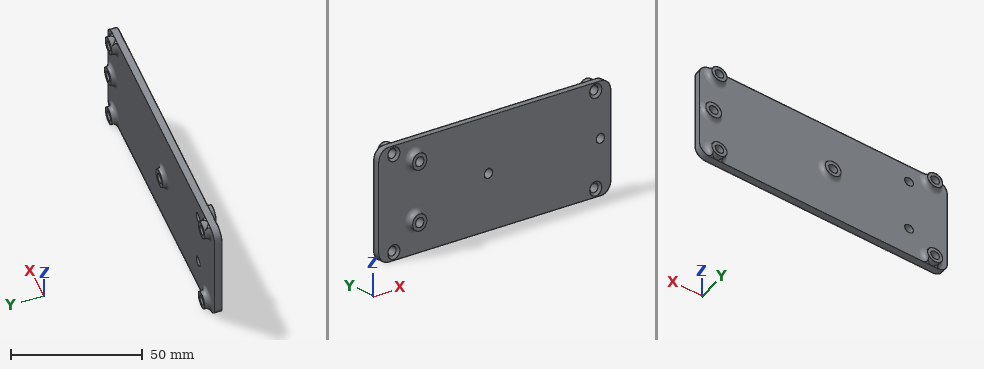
import cadquery as cq

plate_length = 115.0
plate_height = 47.0
plate_thickness = 3.0
corner_radius = 5.0

boss_diameter = 7.0
boss_foot_radius = 2.0
hole_diameter = 4.0

front_boss_height = 3.0
front_boss_x = -39.7
front_boss_mid_z = 2.8
front_boss_spacing = 25.0

corner_boss_height = 2.5
corner_spacing_x = 100.0
corner_spacing_z = 40.0
corner_hole_diameter = 3.9
countersink_diameter = 6.0

center_boss_diameter = 7.4
center_boss_height = 2.0
rear_trim_angle = 30.0

center_boss_positions = [(-3.1, 0), (52.3, 0)]

front_boss_positions = [
    (front_boss_x, front_boss_mid_z + side * front_boss_spacing / 2) for side in (-1, 1)
]
corner_positions = [
    (side_x * corner_spacing_x / 2, side_z * corner_spacing_z / 2)
    for side_x in (-1, 1)
    for side_z in (-1, 1)
]


def plate_block(front_y, depth, taper=0):
    """Block with the rounded plate outline, reaching from front_y towards +Y."""
    outline = cq.Sketch().rect(plate_length, plate_height).vertices().fillet(corner_radius)
    return (
        cq.Workplane("XZ", origin=(0, front_y, 0))
        .placeSketch(outline)
        .extrude(-depth, taper=taper)
    )


def boss(position, base_y, direction, diameter, height):
    """Round boss rising along direction * Y, with a concave flare at its foot."""
    x, z = position
    radius = diameter / 2
    foot_center = (radius + boss_foot_radius, boss_foot_radius)
    diagonal = boss_foot_radius * 0.5 ** 0.5
    profile = (
        cq.Workplane("XY")
        .lineTo(radius + boss_foot_radius, 0)
        .threePointArc(
            (foot_center[0] - diagonal, foot_center[1] - diagonal),
            (radius, boss_foot_radius),
        )
    )
    if height > boss_foot_radius:
        profile = profile.lineTo(radius, height)
    profile = profile.lineTo(0, height).close()
    solid = profile.revolve(360, (0, 0, 0), (0, 1, 0))
    if direction < 0:
        solid = solid.mirror("XZ")
    return solid.translate((x, base_y, z))


def cylinder(position, start_y, length, diameter):
    """Cylinder that runs from start_y towards +Y."""
    x, z = position
    start = cq.Vector(x, start_y, z)
    return cq.Workplane(cq.Solid.makeCylinder(diameter / 2, length, start, cq.Vector(0, 1, 0)))


def hole(position, diameter):
    """Cylinder along Y that passes through the plate and its bosses."""
    length = front_boss_height + plate_thickness + corner_boss_height
    return cylinder(position, -front_boss_height, length, diameter)


def rear_boss(position, diameter, height):
    """Boss on the rear face, its foot flare trimmed back from the plate edges."""
    flared = boss(position, plate_thickness, 1, diameter, height)
    trim = plate_block(plate_thickness, corner_boss_height, rear_trim_angle)
    core = cylinder(position, plate_thickness, height, diameter)
    return flared.intersect(trim).union(core)


def countersink(position):
    """45-degree cone that opens at the front face."""
    x, z = position
    mouth_radius = countersink_diameter / 2
    bottom_radius = corner_hole_diameter / 2
    depth = mouth_radius - bottom_radius
    start = cq.Vector(x, 0, z)
    return cq.Workplane(cq.Solid.makeCone(mouth_radius, bottom_radius, depth, start, cq.Vector(0, 1, 0)))


result = plate_block(0, plate_thickness)

for position in front_boss_positions:
    result = result.union(boss(position, 0, -1, boss_diameter, front_boss_height))
for position in corner_positions:
    result = result.union(rear_boss(position, boss_diameter, corner_boss_height))
for position in center_boss_positions:
    result = result.union(rear_boss(position, center_boss_diameter, center_boss_height))

for position in front_boss_positions + center_boss_positions:
    result = result.cut(hole(position, hole_diameter))
for position in corner_positions:
    result = result.cut(hole(position, corner_hole_diameter))
    result = result.cut(countersink(position))